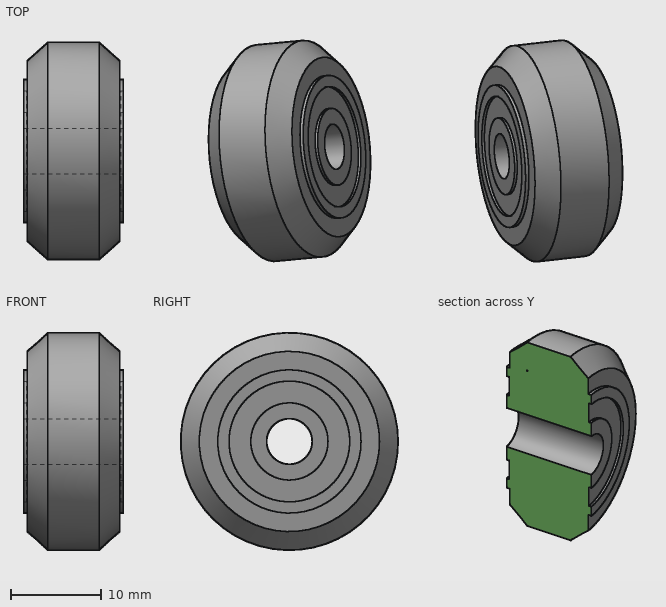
import cadquery as cq

tyre_diameter = 24.15
tyre_face_diameter = 20.0
tyre_width = 10.3
tread_width = 5.66

overall_width = 11.09
bearing_diameter = 15.9
bore_diameter = 5.03

inner_race_diameter = 8.57
outer_race_bore = 13.4
recess_depth = 0.31


def cylinder(diameter, width, start):
    """Cylinder along X, from x = start to x = start + width."""
    return cq.Workplane("YZ", origin=(start, 0, 0)).circle(diameter / 2).extrude(width)


def make_tyre():
    """Solid tyre: a flat tread with a conical bevel on each side."""
    half_profile = [
        (-tyre_width / 2, 0),
        (-tyre_width / 2, tyre_face_diameter / 2),
        (-tread_width / 2, tyre_diameter / 2),
        (tread_width / 2, tyre_diameter / 2),
        (tyre_width / 2, tyre_face_diameter / 2),
        (tyre_width / 2, 0),
    ]
    return cq.Workplane("XY").polyline(half_profile).close().revolve(360, (0, 0, 0), (1, 0, 0))


def make_race_recess(start):
    """Ring cutter for the gap between the races, beginning at x = start."""
    outer = cylinder(outer_race_bore, recess_depth, start)
    return outer.cut(cylinder(inner_race_diameter, recess_depth, start))


result = make_tyre().union(cylinder(bearing_diameter, overall_width, -overall_width / 2))

for recess_start in (-overall_width / 2, overall_width / 2 - recess_depth):
    result = result.cut(make_race_recess(recess_start))

result = result.cut(cylinder(bore_diameter, overall_width, -overall_width / 2))